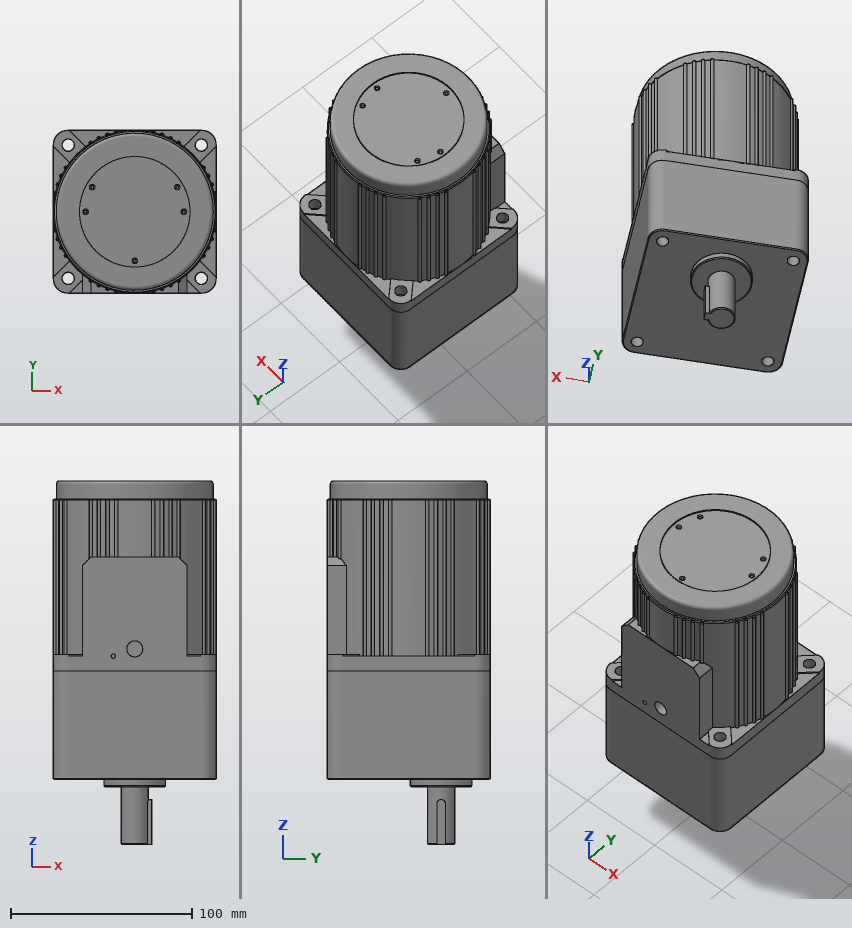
import cadquery as cq
import math


frame_width = 90.0
frame_half = frame_width / 2
corner_radius = 8.0
mount_hole_offset = 36.8
mount_hole_diameter = 6.6

small_chamfer = 0.6

total_height = 201.0
gearhead_height = 60.0
boss_height = 4.0
shaft_length = 32.0
motor_height = total_height - gearhead_height - boss_height - shaft_length
cap_height = 10.0
flange_height = 8.0
pad_height = 1.0
frame_top = motor_height - cap_height

output_offset = 17.9
boss_radius = 17.0
shaft_diameter = 15.0
key_length = 25.0
key_width = 4.8
key_reach = 9.5

rib_radius = 1.0
rib_pitch_angle = 6.5
first_rib_step = 2
last_rib_step = 5
pad_width = 12.5

cap_radius = 43.5
cap_fillet = 2.0
cap_recess_radius = 30.5
cap_recess_depth = 0.8
screw_hole_circle = 27.1
screw_hole_diameter = 3.0
screw_hole_bottom_diameter = 1.6
screw_hole_depth = 0.6
screw_hole_angles = (0, 30, 150, 180, 270)

box_width = 57.9
box_height = 63.0
box_chamfer = 4.8
cable_hole_diameter = 8.8
cable_hole_height = 12.0
cable_hole_depth = 10.0
ground_hole_diameter = 2.5
ground_hole_x = -11.9
ground_hole_height = 8.0
ground_hole_depth = 4.0


def square_frame(bottom, height):
    """Square block with rounded vertical edges, centred on the motor axis."""
    block = cq.Workplane("XY", origin=(0, 0, bottom)).rect(frame_width, frame_width).extrude(height)
    return block.edges("|Z").fillet(corner_radius)


def mount_holes(bottom, height):
    """Cutters for the four mounting holes."""
    spacing = 2 * mount_hole_offset
    corners = cq.Workplane("XY", origin=(0, 0, bottom)).rect(spacing, spacing, forConstruction=True)
    return corners.vertices().circle(mount_hole_diameter / 2).extrude(height)


def output_key():
    """Parallel key on the +X side of the shaft, round at its inner end."""
    tip = -(gearhead_height + boss_height + shaft_length)
    round_radius = key_width / 2
    straight = key_length - round_radius
    return (
        cq.Workplane("YZ")
        .moveTo(output_offset - round_radius, tip)
        .lineTo(output_offset + round_radius, tip)
        .lineTo(output_offset + round_radius, tip + straight)
        .threePointArc((output_offset, tip + key_length), (output_offset - round_radius, tip + straight))
        .close()
        .extrude(key_reach)
    )


def build_gearhead():
    """Gear case with the output boss, shaft and key below it."""
    case = square_frame(-gearhead_height, gearhead_height)
    case = case.faces("<Z").edges().chamfer(small_chamfer)
    case = case.cut(mount_holes(-gearhead_height, gearhead_height))
    mount_face = cq.Workplane("XY", origin=(0, output_offset, -gearhead_height))
    boss = mount_face.circle(boss_radius).extrude(-boss_height)
    boss = boss.faces("<Z").edges().chamfer(small_chamfer)
    shaft = mount_face.circle(shaft_diameter / 2).extrude(-(boss_height + shaft_length))
    shaft = shaft.faces("<Z").edges().chamfer(small_chamfer)
    return case.union(boss).union(shaft).union(output_key())


def build_flange():
    """Motor flange, with a raised strip along both diagonals carrying the screw pads."""
    flange = square_frame(0, flange_height)
    corner_limit = square_frame(flange_height, pad_height)
    diagonal = frame_width * math.sqrt(2)
    for angle in (45, 135):
        strip = (
            cq.Workplane("XY", origin=(0, 0, flange_height))
            .rect(diagonal, pad_width)
            .extrude(pad_height)
            .rotate((0, 0, 0), (0, 0, 1), angle)
        )
        flange = flange.union(strip.intersect(corner_limit))
    return flange.cut(mount_holes(0, flange_height + pad_height))


def chamfered_bar(x, radius):
    """Round upright bar at (x, 0) from the flange to the frame top, chamfered at its upper end."""
    bar = cq.Workplane("XY", origin=(x, 0, flange_height)).circle(radius).extrude(frame_top - flange_height)
    return bar.faces(">Z").edges().chamfer(small_chamfer)


def build_ribbed_frame():
    """Round motor frame with eight groups of half-round ribs, chamfered around its top."""
    frame = chamfered_bar(0, frame_half)
    rib = chamfered_bar(frame_half, rib_radius)
    for side in range(4):
        for step in range(first_rib_step, last_rib_step + 1):
            for direction in (-1, 1):
                angle = 90 * side + direction * step * rib_pitch_angle
                frame = frame.union(rib.rotate((0, 0, 0), (0, 0, 1), angle))
    return frame


def build_end_cap():
    """Rounded end cap with a shallow round recess and five small tapered holes."""
    cap = cq.Workplane("XY", origin=(0, 0, frame_top)).circle(cap_radius).extrude(cap_height)
    cap = cap.faces(">Z").edges().fillet(cap_fillet)
    recess_floor = motor_height - cap_recess_depth
    recess = cq.Workplane("XY", origin=(0, 0, recess_floor)).circle(cap_recess_radius).extrude(cap_recess_depth)
    cap = cap.cut(recess)
    for angle in screw_hole_angles:
        x = screw_hole_circle * math.cos(math.radians(angle))
        y = screw_hole_circle * math.sin(math.radians(angle))
        hole = (
            cq.Workplane("XY", origin=(x, y, recess_floor))
            .circle(screw_hole_diameter / 2)
            .workplane(offset=-screw_hole_depth)
            .circle(screw_hole_bottom_diameter / 2)
            .loft()
        )
        cap = cap.cut(hole)
    return cap


def build_terminal_box():
    """Flat box between the motor axis plane and the -Y side, with its top corners chamfered."""
    return (
        cq.Workplane("XZ")
        .rect(box_width, box_height, centered=(True, False))
        .extrude(frame_half)
        .edges("|Y and >Z")
        .chamfer(box_chamfer)
    )


def front_hole(x, height, diameter, depth):
    """Cutter for a blind hole drilled into the -Y side."""
    return cq.Workplane("XZ", origin=(x, -frame_half, height)).circle(diameter / 2).extrude(-depth)


def build_motor():
    """Motor with flange, ribbed frame, end cap and terminal box."""
    motor = build_flange().union(build_ribbed_frame())
    motor = motor.union(build_end_cap()).union(build_terminal_box())
    motor = motor.cut(front_hole(0, cable_hole_height, cable_hole_diameter, cable_hole_depth))
    return motor.cut(front_hole(ground_hole_x, ground_hole_height, ground_hole_diameter, ground_hole_depth))


gearhead = build_gearhead()
motor = build_motor()

result = cq.Compound.makeCompound([gearhead.val(), motor.val()])